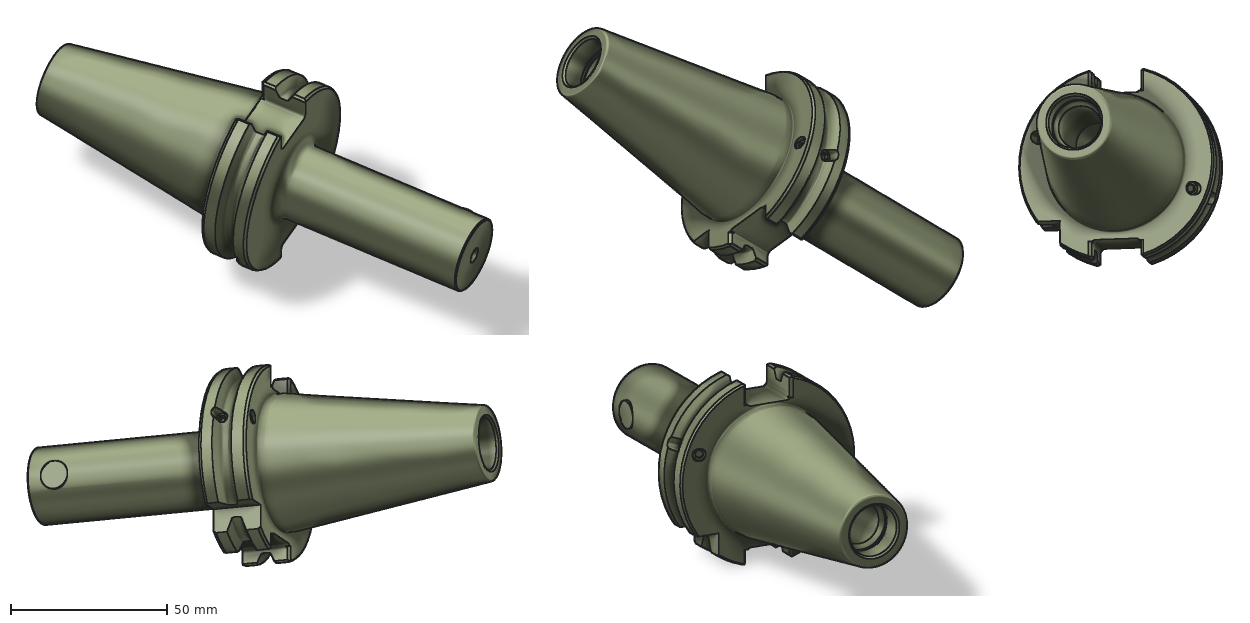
import cadquery as cq
import math


total_length = 153.25
gauge_x = 68.25
gauge_radius = 22.225
taper_rate = 7 / 24
small_end_radius = gauge_radius - gauge_x * taper_rate / 2
small_end_round = 0.9
shank_radius = 12.5
shank_root_fillet = 3.2
shank_end_chamfer = 0.4

flange_radius = 31.75
flange_start_x = 71.1
gauge_to_flange_end = 19.05
flange_end_x = gauge_x + gauge_to_flange_end
flange_edge_chamfer_x = 0.9
flange_edge_chamfer_radial = 0.5
pilot_root_fillet = 0.5

gauge_to_groove = 11.1
groove_center_x = gauge_x + gauge_to_groove
groove_width = 6.6
groove_floor_width = 3.0
groove_floor_radius = 28.1
groove_floor_fillet = 1.0

slot_width = 16.1
slot_floor_top = 22.8
slot_floor_bottom = 24.8
slot_corner_radius = 1.6
slot_edge_chamfer = 0.875
slot_flare_floor_step = 0.5
notch_y = 18.2
notch_z = 18.2

counterbore_radius = 8.5
counterbore_depth = 8.5
relief_width = 1.2
relief_depth = 0.4
counterbore_chamfer = 0.7
thread_bore_radius = 7.0
thread_bore_end_x = 40.0
thread_lead_angle = 45
drill_point_angle = 60
coolant_radius = 2.5

plug_radius = 2.1
plug_length = 3.5
plug_socket_width = 2.5
plug_socket_depth = 1.5
plug_angle = 20
face_plug_radial = 26.9
face_plug_tilt = 30
face_plug_recess = 2.4
groove_plug_x = 81.5
groove_plug_top_radius = 27.3

clamp_x = 144.0
clamp_radius = 4.6
clamp_outer_y = shank_radius
clamp_inner_y = 4.0

overrun = 5.0


def revolve_about_x(profile):
    return profile.close().revolve(360, (0, 0, 0), (1, 0, 0))


def taper_body():
    body = revolve_about_x(
        cq.Workplane("XY")
        .moveTo(0, 0)
        .lineTo(0, small_end_radius)
        .lineTo(gauge_x, gauge_radius)
        .lineTo(flange_start_x - pilot_root_fillet, gauge_radius)
        .radiusArc((flange_start_x, gauge_radius + pilot_root_fillet), -pilot_root_fillet)
        .lineTo(flange_start_x, 0)
    )
    return body.faces("<X").edges().fillet(small_end_round)


def flange_body():
    edge_radius = flange_radius - flange_edge_chamfer_radial
    disc = revolve_about_x(
        cq.Workplane("XY")
        .moveTo(flange_start_x, 0)
        .lineTo(flange_start_x, edge_radius)
        .lineTo(flange_start_x + flange_edge_chamfer_x, flange_radius)
        .lineTo(flange_end_x - flange_edge_chamfer_x, flange_radius)
        .lineTo(flange_end_x, edge_radius)
        .lineTo(flange_end_x, 0)
    )
    rim_half = groove_width / 2
    floor_half = groove_floor_width / 2
    ring = revolve_about_x(
        cq.Workplane("XY")
        .moveTo(groove_center_x - rim_half, flange_radius)
        .lineTo(groove_center_x - floor_half, groove_floor_radius)
        .lineTo(groove_center_x + floor_half, groove_floor_radius)
        .lineTo(groove_center_x + rim_half, flange_radius)
    )
    floor_edges = cq.selectors.RadiusNthSelector(0)
    return disc.cut(ring.edges(floor_edges).fillet(groove_floor_fillet))


def shank_body():
    root_radius = shank_radius + shank_root_fillet
    fillet_end_x = flange_end_x + shank_root_fillet
    tip_radius = shank_radius - shank_end_chamfer
    return revolve_about_x(
        cq.Workplane("XY")
        .moveTo(flange_end_x, 0)
        .lineTo(flange_end_x, root_radius)
        .radiusArc((fillet_end_x, shank_radius), -shank_root_fillet)
        .lineTo(total_length - shank_end_chamfer, shank_radius)
        .lineTo(total_length, tip_radius)
        .lineTo(total_length, 0)
    )


def bore_cutter():
    lead_slope = math.tan(math.radians(thread_lead_angle))
    point_slope = math.tan(math.radians(drill_point_angle))
    relief_start_x = counterbore_depth - relief_width
    relief_radius = counterbore_radius + relief_depth
    thread_start_x = counterbore_depth + (counterbore_radius - thread_bore_radius) / lead_slope
    cone_end_x = thread_bore_end_x + (thread_bore_radius - coolant_radius) / point_slope
    return revolve_about_x(
        cq.Workplane("XY")
        .moveTo(0, 0)
        .lineTo(0, counterbore_radius + counterbore_chamfer)
        .lineTo(counterbore_chamfer, counterbore_radius)
        .lineTo(relief_start_x, counterbore_radius)
        .lineTo(relief_start_x, relief_radius)
        .lineTo(counterbore_depth, relief_radius)
        .lineTo(counterbore_depth, counterbore_radius)
        .lineTo(thread_start_x, thread_bore_radius)
        .lineTo(thread_bore_end_x, thread_bore_radius)
        .lineTo(cone_end_x, coolant_radius)
        .lineTo(total_length, coolant_radius)
        .lineTo(total_length, 0)
    )


def slot_cutter(floor):
    """Drive slot on the +Z side, flared at the -X flange face and at the rim."""
    half = slot_width / 2
    flare_half = half + slot_edge_chamfer
    top = flange_radius + overrun
    slot = (
        cq.Workplane("YZ", origin=(flange_start_x, 0, 0))
        .moveTo(-half, top)
        .lineTo(-half, floor + slot_corner_radius)
        .radiusArc((-half + slot_corner_radius, floor), -slot_corner_radius)
        .lineTo(half - slot_corner_radius, floor)
        .radiusArc((half, floor + slot_corner_radius), -slot_corner_radius)
        .lineTo(half, top)
        .close()
        .extrude(flange_end_x - flange_start_x)
    )
    flare_floor = floor + slot_flare_floor_step
    flare = (
        cq.Workplane("XY", origin=(0, 0, flare_floor))
        .moveTo(flange_start_x, flare_half)
        .lineTo(flange_start_x + flare_half, 0)
        .lineTo(flange_start_x, -flare_half)
        .close()
        .extrude(top - flare_floor)
    )
    mouth_low = math.sqrt(flange_radius**2 - half**2) - slot_edge_chamfer
    mouth_high = math.sqrt(flange_radius**2 - flare_half**2)
    mouth = (
        cq.Workplane("YZ", origin=(flange_start_x, 0, 0))
        .moveTo(-half, mouth_low)
        .lineTo(-flare_half, mouth_high)
        .lineTo(-flare_half, top)
        .lineTo(flare_half, top)
        .lineTo(flare_half, mouth_high)
        .lineTo(half, mouth_low)
        .close()
        .extrude(flange_end_x - flange_start_x)
    )
    return slot.union(flare).union(mouth)


def notch_cutter():
    """Square orientation notch through the +Y, -Z edge of the flange."""
    size = flange_radius
    return cq.Workplane("XY").box(flange_end_x - flange_start_x, size, size).translate(
        ((flange_start_x + flange_end_x) / 2, notch_y + size / 2, -notch_z - size / 2)
    )


def plug_screw():
    """Hex socket screw with its outer end at the origin, reaching into +X."""
    return (
        cq.Workplane("YZ")
        .circle(plug_radius)
        .extrude(plug_length)
        .cut(
            cq.Workplane("YZ")
            .polygon(6, plug_socket_width / math.cos(math.pi / 6))
            .extrude(plug_socket_depth)
        )
    )


def plug_hole(recess):
    """Hole that takes a plug screw and reaches outward past it by the recess."""
    return cq.Workplane("YZ", origin=(-recess, 0, 0)).circle(plug_radius).extrude(recess + plug_length)


def place_face_plug(shape, turn):
    tilt = math.radians(face_plug_tilt)
    x = flange_start_x + face_plug_recess * math.cos(tilt)
    y = -face_plug_radial + face_plug_recess * math.sin(tilt)
    return shape.rotate((0, 0, 0), (0, 0, 1), face_plug_tilt).translate((x, y, 0)).rotate(
        (0, 0, 0), (1, 0, 0), turn
    )


def place_groove_plug(shape, turn):
    return shape.rotate((0, 0, 0), (0, 0, 1), 90).translate(
        (groove_plug_x, -groove_plug_top_radius, 0)
    ).rotate((0, 0, 0), (1, 0, 0), turn)


def clamp_cylinder(outer_y):
    return (
        cq.Workplane("XZ", origin=(clamp_x, clamp_inner_y, 0))
        .circle(clamp_radius)
        .extrude(clamp_inner_y - outer_y)
    )


flange = flange_body()
flange = flange.cut(slot_cutter(slot_floor_top))
flange = flange.cut(slot_cutter(slot_floor_bottom).rotate((0, 0, 0), (1, 0, 0), 180))
flange = flange.cut(notch_cutter())

holder = taper_body().union(flange).union(shank_body()).cut(bore_cutter())

plug_turns = (plug_angle, plug_angle + 180)
groove_recess = flange_radius + overrun - groove_plug_top_radius
for turn in plug_turns:
    holder = holder.cut(place_face_plug(plug_hole(face_plug_recess + overrun), turn))
    holder = holder.cut(place_groove_plug(plug_hole(groove_recess), turn))
holder = holder.cut(clamp_cylinder(shank_radius + overrun))

face_plugs = [place_face_plug(plug_screw(), turn) for turn in plug_turns]
groove_plugs = [place_groove_plug(plug_screw(), turn) for turn in plug_turns]
clamp_screw = clamp_cylinder(clamp_outer_y)

result = cq.Compound.makeCompound(
    [holder.solids().val(), clamp_screw.val()] + [plug.val() for plug in face_plugs + groove_plugs]
)